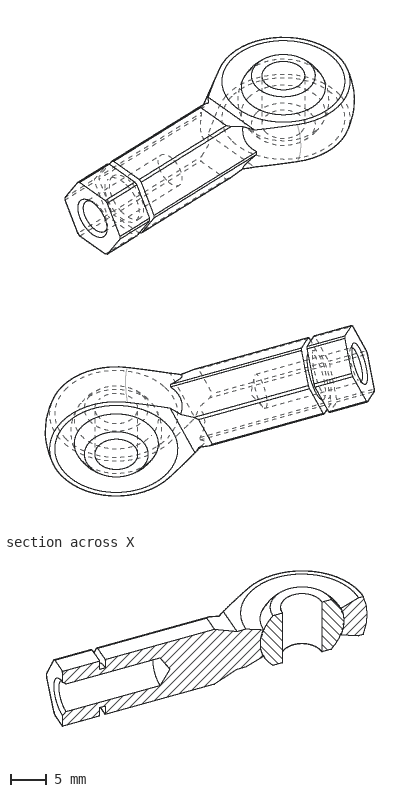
import cadquery as cq
import math

TOTAL_LENGTH = 46.5

EYE_RADIUS = 9.95
EYE_THICKNESS = 6.95
NECK_HALF_ANGLE = 28.9
DISH_DIAMETER = 17.2

BALL_HEIGHT = 9.05
BALL_FLAT_DIAMETER = 8.95
BALL_BORE_DIAMETER = 6.0
BALL_RADIUS = math.hypot(BALL_HEIGHT / 2, BALL_FLAT_DIAMETER / 2)
SOCKET_MOUTH_DIAMETER = 11.75

HEX_ACROSS_FLATS = 10.0
HEX_EDGE_CHAMFER = 0.3
SHANK_END_Y = EYE_RADIUS - TOTAL_LENGTH
RAMP_START_Y = -9.95
RAMP_LENGTH = 3.45

GROOVE_DIAMETER = 7.0
GROOVE_WIDTH = 0.85
END_COLLAR_LENGTH = 5.65

HOLE_DIAMETER = 4.95
HOLE_MOUTH_DIAMETER = 6.0
HOLE_DEPTH = 14.9
DRILL_POINT_ANGLE = 118.0


def make_eye():
    """Sphere with a tangent conical neck."""
    angle = math.radians(NECK_HALF_ANGLE)
    tangent_y = -EYE_RADIUS * math.sin(angle)
    tangent_radius = EYE_RADIUS * math.cos(angle)
    apex_y = -EYE_RADIUS / math.sin(angle)
    return (
        cq.Workplane("XY")
        .moveTo(0, EYE_RADIUS)
        .threePointArc((EYE_RADIUS, 0), (tangent_radius, tangent_y))
        .lineTo(0, apex_y)
        .close()
        .revolve(360, (0, 0, 0), (0, 1, 0))
    )


def make_shank():
    """Hexagonal bar with chamfered long edges."""
    across_corners = HEX_ACROSS_FLATS / math.cos(math.pi / 6)
    return (
        cq.Workplane("XZ", origin=(0, RAMP_START_Y, 0))
        .polygon(6, across_corners)
        .extrude(RAMP_START_Y - SHANK_END_Y)
        .edges("|Y")
        .chamfer(HEX_EDGE_CHAMFER)
    )


def make_side_envelope():
    """Flat eye faces that ramp up to the full height of the hexagon."""
    ramp_end_y = RAMP_START_Y - RAMP_LENGTH
    low = EYE_THICKNESS / 2
    high = HEX_ACROSS_FLATS / 2
    return (
        cq.Workplane("YZ")
        .polyline([
            (EYE_RADIUS, -low),
            (EYE_RADIUS, low),
            (RAMP_START_Y, low),
            (ramp_end_y, high),
            (SHANK_END_Y, high),
            (SHANK_END_Y, -high),
            (ramp_end_y, -high),
            (RAMP_START_Y, -low),
        ])
        .close()
        .extrude(EYE_RADIUS, both=True)
    )


def make_groove():
    """Ring of material removed around the shank."""
    return (
        cq.Workplane("XZ", origin=(0, SHANK_END_Y + END_COLLAR_LENGTH + GROOVE_WIDTH, 0))
        .circle(HEX_ACROSS_FLATS)
        .circle(GROOVE_DIAMETER / 2)
        .extrude(GROOVE_WIDTH)
    )


def make_end_hole():
    """Blind hole with a 45 degree mouth and a conical bottom."""
    radius = HOLE_DIAMETER / 2
    mouth_radius = HOLE_MOUTH_DIAMETER / 2
    bottom_y = SHANK_END_Y + HOLE_DEPTH
    point_length = radius / math.tan(math.radians(DRILL_POINT_ANGLE / 2))
    return (
        cq.Workplane("XY")
        .polyline([
            (0, SHANK_END_Y),
            (mouth_radius, SHANK_END_Y),
            (radius, SHANK_END_Y + mouth_radius - radius),
            (radius, bottom_y),
            (0, bottom_y + point_length),
        ])
        .close()
        .revolve(360, (0, 0, 0), (0, 1, 0))
    )


def make_dishes():
    """Conical recesses from both eye faces down to the ball surface."""
    face_z = EYE_THICKNESS / 2
    mouth_radius = SOCKET_MOUTH_DIAMETER / 2
    mouth_z = math.sqrt(BALL_RADIUS**2 - mouth_radius**2)
    upper = (
        cq.Workplane("XZ")
        .polyline([
            (0, mouth_z),
            (mouth_radius, mouth_z),
            (DISH_DIAMETER / 2, face_z),
            (0, face_z),
        ])
        .close()
        .revolve(360, (0, 0, 0), (0, 1, 0))
    )
    return upper.union(upper.mirror("XY"))


def make_housing():
    socket = cq.Workplane("XY").sphere(BALL_RADIUS)
    return (
        make_eye()
        .union(make_shank())
        .intersect(make_side_envelope())
        .cut(make_groove())
        .cut(make_end_hole())
        .cut(make_dishes())
        .cut(socket)
    )


def make_ball():
    """Sphere with flat ends and a through bore."""
    blank = cq.Workplane("XY").cylinder(BALL_HEIGHT, BALL_RADIUS)
    bore = cq.Workplane("XY").cylinder(BALL_HEIGHT, BALL_BORE_DIAMETER / 2)
    return cq.Workplane("XY").sphere(BALL_RADIUS).intersect(blank).cut(bore)


housing = make_housing()
ball = make_ball()
result = cq.Compound.makeCompound([housing.solids().val(), ball.val()])